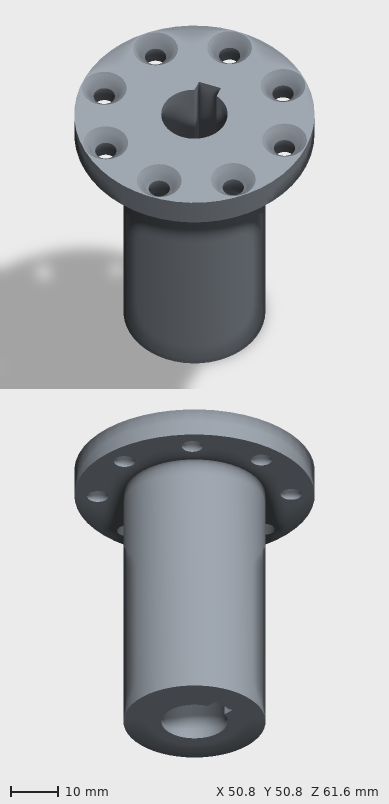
import cadquery as cq

total_height = 61.55
flange_diameter = 50.8
flange_thickness = 6.15
sleeve_diameter = 30.05

bore_diameter = 14.05
keyway_width = 5.0
keyway_top = 9.0

screw_count = 8
screw_circle_radius = 20.45
screw_hole_diameter = 4.5
countersink_diameter = 9.4
countersink_angle = 90.0


def flanged_sleeve():
    """Cylindrical sleeve standing on Z = 0 with a round flange at its top."""
    sleeve = cq.Workplane("XY").circle(sleeve_diameter / 2).extrude(total_height)
    flange = (
        cq.Workplane("XY")
        .workplane(offset=total_height - flange_thickness)
        .circle(flange_diameter / 2)
        .extrude(flange_thickness)
    )
    return sleeve.union(flange)


def keyed_bore():
    """Through bore with a rectangular keyway on its +Y side."""
    bore = cq.Workplane("XY").circle(bore_diameter / 2).extrude(total_height)
    keyway = (
        cq.Workplane("XY")
        .center(0, keyway_top / 2)
        .rect(keyway_width, keyway_top)
        .extrude(total_height)
    )
    return bore.union(keyway)


def drill_screw_holes(body):
    """Drill the ring of countersunk holes through the flange."""
    return (
        body.faces(">Z")
        .workplane(origin=(0, 0, total_height))
        .polarArray(screw_circle_radius, 0, 360, screw_count)
        .cskHole(screw_hole_diameter, countersink_diameter, countersink_angle, flange_thickness)
    )


result = drill_screw_holes(flanged_sleeve()).cut(keyed_bore())